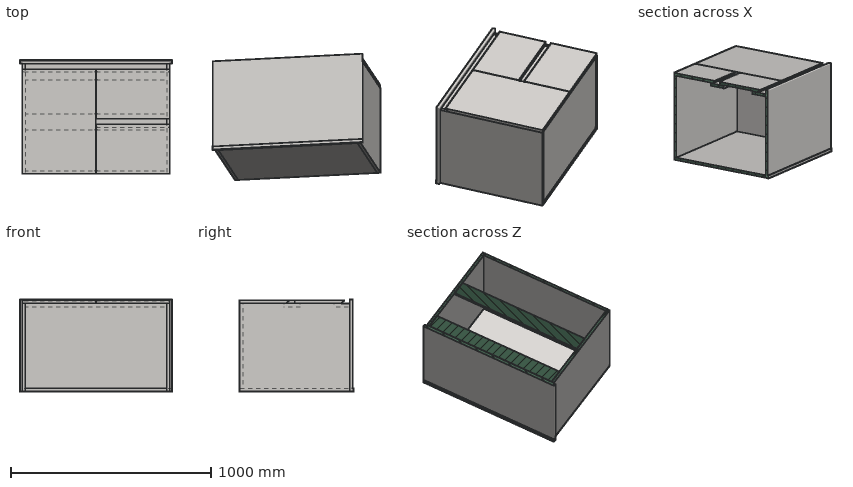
import cadquery as cq


board = 16.0

top_width = 760.0
top_depth = 460.0
top_thickness = board
top_radius = 3.0
lip_height = 3.0
lip_depth = 16.0

cabinet_width = 738.0
cabinet_height = 550.0
carcass_depth = 440.0
rail_height = 80.0

drawer_count = 2
front_margin = 1.5
finger_gap = 28.0
door_gap = 3.0
bevel_land = 3.0

half_width = cabinet_width / 2
inner_width = cabinet_width - 2 * board
door_height = cabinet_height - finger_gap
drawer_pitch = cabinet_height / drawer_count
drawer_height = drawer_pitch - finger_gap
bevel_run = board - bevel_land
front_width = half_width - front_margin - door_gap / 2


def block(x_start, y_start, z_start, width, height, depth):
    """Box placed by its lowest corner."""
    return cq.Workplane("XY").box(width, height, depth, centered=False).translate((x_start, y_start, z_start))


def side_panel(x_start):
    return block(x_start, 0, 0, board, cabinet_height, carcass_depth)


def back_panel():
    return block(-inner_width / 2, 0, 0, inner_width, cabinet_height, board)


def bottom_panel():
    return block(-inner_width / 2, 0, board, inner_width, board, carcass_depth - board)


def front_rail(y_center):
    """Flat board between the side panels, flush with their front edges."""
    y_start = y_center - rail_height / 2
    return block(-inner_width / 2, y_start, carcass_depth - board, inner_width, rail_height, board)


def beveled_front(x_start, y_start, height):
    """Door or drawer front whose upper end is undercut by a finger bevel from the carcass side."""
    y_end = y_start + height
    z_start = carcass_depth
    z_end = carcass_depth + board
    return (
        cq.Workplane("YZ", origin=(x_start, 0, 0))
        .moveTo(y_start, z_start)
        .lineTo(y_end - bevel_run, z_start)
        .lineTo(y_end, z_end - bevel_land)
        .lineTo(y_end, z_end)
        .lineTo(y_start, z_end)
        .close()
        .extrude(front_width)
    )


def worktop():
    """Slab rounded along its front and side edges, with a raised lip along the back."""
    slab = block(-top_width / 2, cabinet_height, 0, top_width, top_thickness, top_depth)
    slab = slab.edges("|Y and >Z").fillet(top_radius)
    slab = slab.faces(">Y or <Y").edges("not <Z").fillet(top_radius)

    lip_start = cabinet_height + top_thickness / 2
    lip_end = cabinet_height + top_thickness + lip_height
    lip = block(-top_width / 2, lip_start, 0, top_width, lip_end - lip_start, lip_depth)
    lip = lip.edges("|Z and >Y").fillet(top_radius)
    return slab.union(lip)


sides = [side_panel(x_start) for x_start in (-half_width, half_width - board)]
back = back_panel()
bottom = bottom_panel()
top_rail_center = cabinet_height - rail_height / 2
drawer_rail_center = drawer_height + finger_gap / 2
rails = [front_rail(y_center) for y_center in (top_rail_center, drawer_rail_center)]

door = beveled_front(-half_width + front_margin, 0, door_height)
drawers = [beveled_front(door_gap / 2, row * drawer_pitch, drawer_height) for row in range(drawer_count)]

top = worktop()

bodies = [*sides, back, bottom, *rails, door, *drawers, top]
result = cq.Compound.makeCompound([body.val() for body in bodies])